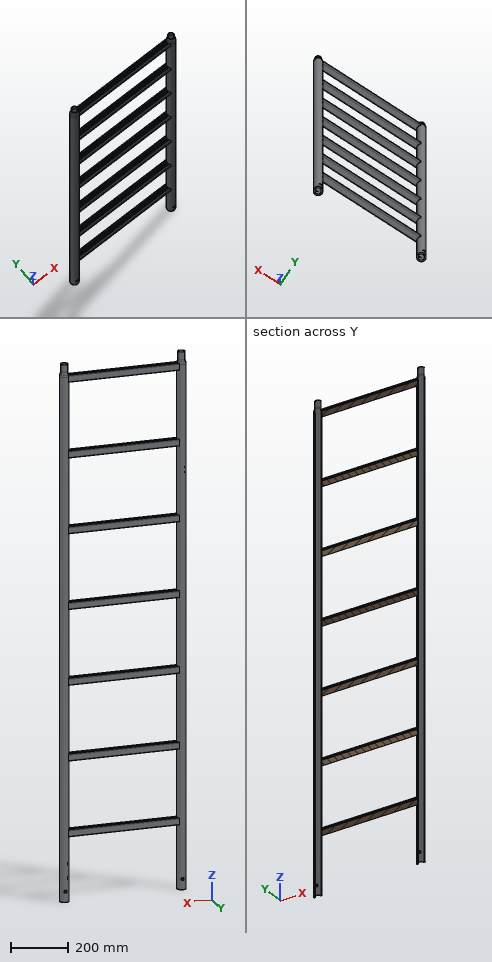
import cadquery as cq

height = 1986.0
width = 467.0
bottom = -height / 2
top = height / 2

stile_diameter = 34.0
spigot_diameter = 25.0
bore_diameter = 22.0
spigot_length = 32.0
cone_length = 10.0
neck_blend_radius = 15.0
stile_spacing = width - stile_diameter
stile_positions = [-stile_spacing / 2, stile_spacing / 2]

hole_diameter = 10.0
hole_height = 40.0

rung_size = 25.0
rung_edge_radius = 3.0
rung_count = 7
rung_pitch = 280.0
lowest_rung_height = 252.0
rung_levels = [bottom + lowest_rung_height + i * rung_pitch for i in range(rung_count)]

groove_count = 3
groove_pitch = 5.0
groove_width = 3.0
groove_depth = 1.0


def full_height_cylinder(diameter, x):
    """Upright cylinder over the full ladder height, on the vertical axis at x."""
    return cq.Workplane("XY", origin=(x, 0, bottom)).circle(diameter / 2).extrude(height)


def make_stile(x):
    """Necked tube on the vertical axis at x, with a cross hole through both walls."""
    tube_radius = stile_diameter / 2
    spigot_radius = spigot_diameter / 2
    cone_top = top - spigot_length
    cone_bottom = cone_top - cone_length
    outline = [
        (0, bottom),
        (tube_radius, bottom),
        (tube_radius, cone_bottom),
        (spigot_radius, cone_top),
        (spigot_radius, top),
        (0, top),
    ]
    stile = cq.Workplane("XZ").polyline(outline).close().revolve(360, (0, 0, 0), (0, 1, 0))

    rim_margin = cone_length / 2
    neck_zone = cq.selectors.BoxSelector(
        (-tube_radius, -tube_radius, cone_bottom - rim_margin),
        (tube_radius, tube_radius, cone_top + rim_margin),
    )
    stile = stile.edges("%CIRCLE").edges(neck_zone).fillet(neck_blend_radius)

    locking_hole = (
        cq.Workplane("XZ", origin=(0, 0, bottom + hole_height))
        .circle(hole_diameter / 2)
        .extrude(tube_radius, both=True)
    )
    stile = stile.cut(full_height_cylinder(bore_diameter, 0)).cut(locking_hole)

    if x < 0:
        stile = stile.rotate((0, 0, 0), (0, 0, 1), 180)
    return stile.translate((x, 0, 0))


def make_rung(z):
    """Grooved bar centred at height z, its ends coped to sit against the round stiles."""
    rung = cq.Workplane("XY", origin=(0, 0, z)).box(stile_spacing, rung_size, rung_size)
    rung = rung.edges("|X").fillet(rung_edge_radius)

    tread = z + rung_size / 2
    for i in range(groove_count):
        y = (i - (groove_count - 1) / 2) * groove_pitch
        cutter = cq.Workplane("XY", origin=(0, y, tread)).box(stile_spacing, groove_width, 2 * groove_depth)
        rung = rung.cut(cutter)

    for x in stile_positions:
        rung = rung.cut(full_height_cylinder(stile_diameter, x))
    return rung


stiles = [make_stile(x) for x in stile_positions]
rungs = [make_rung(z) for z in rung_levels]

result = cq.Compound.makeCompound([body.solids().val() for body in stiles + rungs])